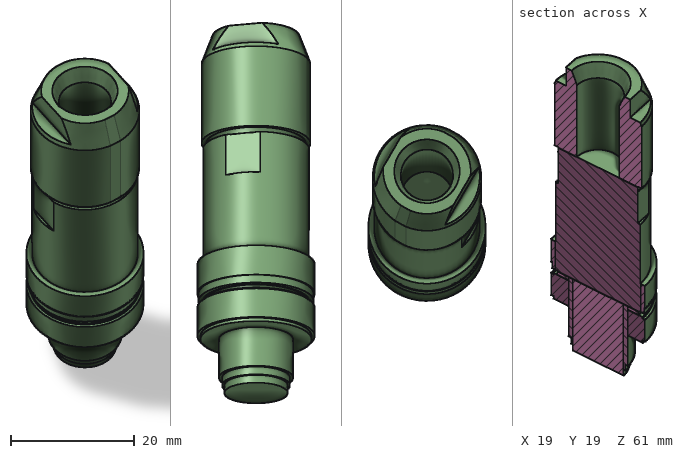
import cadquery as cq
import math


insert_diameter = 10.25

tip_diameter = 11.0
barrel_diameter = 12.0
tip_bottom = 1.3
barrel_shoulder = 2.6

nut_diameter = 19.0
nut_collar_diameter = 18.0
nut_bottom = 9.2
nut_top = 14.95
nut_lower_collar_height = 0.55
nut_upper_collar_height = 0.35

seal_diameter = 16.5
seal_top = 15.7

ring_diameter = 19.0
ring_lip_diameter = 18.65
ring_lip_height = 1.3
ring_top = 22.0

housing_diameter = 17.15
housing_top = 41.8
housing_flat_distance = 16.15
housing_flat_height = 6.9
neck_diameter = 16.1

cap_diameter = 17.6
cap_bottom = 42.75
cap_top = 61.0
cap_top_diameter = 14.15
cap_cone_height = 4.65
cap_flat_distance = 13.0
cap_flat_height = 3.9
cap_facet_width = 2.0
cable_hole_diameter = 8.45
cable_mouth_diameter = 10.6
cable_mouth_depth = 2.6


def cylinder(diameter, bottom, top):
    """Solid cylinder on the Z axis between two heights."""
    return cq.Workplane("XY", origin=(0, 0, bottom)).circle(diameter / 2).extrude(top - bottom)


def cone(bottom_diameter, top_diameter, bottom, top):
    """Solid truncated cone on the Z axis between two heights."""
    frustum = cq.Solid.makeCone(
        bottom_diameter / 2, top_diameter / 2, top - bottom, cq.Vector(0, 0, bottom)
    )
    return cq.Workplane(obj=frustum)


def cut_flats(body, distance, bottom, top):
    """Cut two flats facing -Y and +Y, the given distance apart, between two heights."""
    cutter_size = 2 * distance
    for side in (-1, 1):
        centre_y = side * (distance + cutter_size) / 2
        cutter = (
            cq.Workplane("XY", origin=(0, centre_y, bottom))
            .rect(cutter_size, cutter_size)
            .extrude(top - bottom)
        )
        body = body.cut(cutter)
    return body


def make_insert():
    return cylinder(insert_diameter, 0, seal_top)


def make_barrel():
    tip = cylinder(tip_diameter, tip_bottom, barrel_shoulder)
    shank = cylinder(barrel_diameter, barrel_shoulder, seal_top)
    bore = cylinder(insert_diameter, tip_bottom, seal_top)
    return tip.union(shank).cut(bore)


def make_nut():
    collars = cylinder(nut_collar_diameter, nut_bottom, nut_top)
    grip = cylinder(nut_diameter, nut_bottom + nut_lower_collar_height, nut_top - nut_upper_collar_height)
    bore = cylinder(barrel_diameter, nut_bottom, nut_top)
    return collars.union(grip).cut(bore)


def make_seal():
    return cylinder(seal_diameter, nut_top, seal_top).cut(cylinder(barrel_diameter, nut_top, seal_top))


def make_ring():
    lip_top = seal_top + ring_lip_height
    lip = cylinder(ring_lip_diameter, seal_top, lip_top)
    grip = cylinder(ring_diameter, lip_top, ring_top)
    return lip.union(grip).cut(cylinder(housing_diameter, seal_top, ring_top))


def make_housing():
    barrel = cylinder(housing_diameter, seal_top, housing_top)
    barrel = cut_flats(barrel, housing_flat_distance, housing_top - housing_flat_height, housing_top)
    return barrel.union(cylinder(neck_diameter, housing_top, cap_bottom))


def trim_cap_facets(cap, cone_bottom):
    """Trim a narrow facet down the -X and +X sides, following the skirt and then the cone."""
    cap_radius = cap_diameter / 2
    skirt_facet_x = math.sqrt(cap_radius**2 - (cap_facet_width / 2) ** 2)
    facet_depth = cap_radius - skirt_facet_x
    top_facet_x = cap_top_diameter / 2 - facet_depth
    envelope = (
        cq.Workplane("XZ")
        .moveTo(-skirt_facet_x, cap_bottom)
        .lineTo(skirt_facet_x, cap_bottom)
        .lineTo(skirt_facet_x, cone_bottom)
        .lineTo(top_facet_x, cap_top)
        .lineTo(-top_facet_x, cap_top)
        .lineTo(-skirt_facet_x, cone_bottom)
        .close()
        .extrude(cap_diameter, both=True)
    )
    return cap.intersect(envelope)


def make_cap():
    cone_bottom = cap_top - cap_cone_height
    skirt = cylinder(cap_diameter, cap_bottom, cone_bottom)
    nose = cone(cap_diameter, cap_top_diameter, cone_bottom, cap_top)
    cap = trim_cap_facets(skirt.union(nose), cone_bottom)
    cap = cut_flats(cap, cap_flat_distance, cap_top - cap_flat_height, cap_top)
    hole = cylinder(cable_hole_diameter, cap_bottom, cap_top)
    mouth = cone(cable_hole_diameter, cable_mouth_diameter, cap_top - cable_mouth_depth, cap_top)
    return cap.cut(hole).cut(mouth)


bodies = [
    make_insert(),
    make_barrel(),
    make_nut(),
    make_seal(),
    make_ring(),
    make_housing(),
    make_cap(),
]
result = cq.Compound.makeCompound([body.val() for body in bodies])